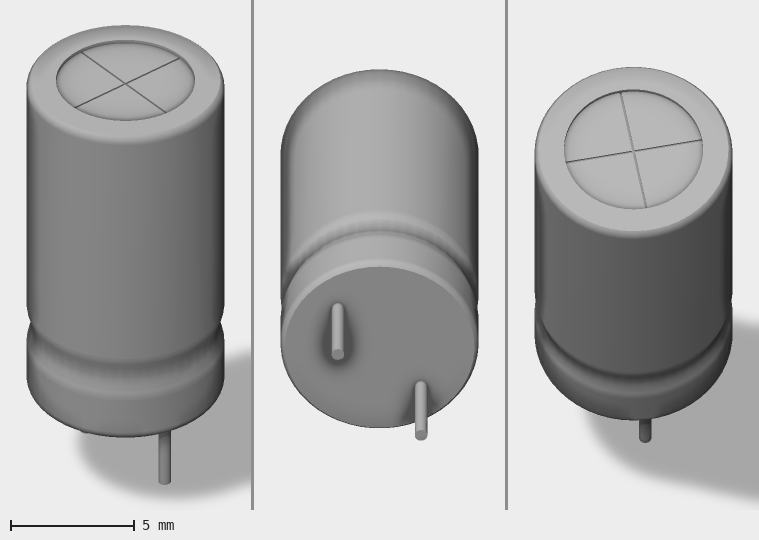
import cadquery as cq
import math

can_radius = 8.0 / 2
can_height = 15.0
rim_inset = 0.17
rim_height = 0.35

groove_center = 3.0
groove_half_height = 1.03
groove_hollow_half_height = 0.64
groove_depth = 0.17

vent_radius = 2.81
vent_depth = 0.17
score_width = 0.1
score_depth = 0.08

lead_radius = 0.253
lead_pitch = 5.0
long_lead_length = 3.75
short_lead_length = 3.52


def make_can():
    """Revolve the can profile, with rounded rims and a smooth groove."""
    groove_bottom = groove_center - groove_half_height
    groove_top = groove_center + groove_half_height
    hollow_bottom = groove_center - groove_hollow_half_height
    hollow_top = groove_center + groove_hollow_half_height

    shoulder_share = 1 - groove_hollow_half_height / groove_half_height
    shoulder_radius = can_radius - groove_depth * shoulder_share
    throat_radius = can_radius - groove_depth
    rim_radius = can_radius - rim_inset

    rim_arc_radius = (rim_inset**2 + rim_height**2) / (2 * rim_inset)
    rim_half_angle = math.asin(rim_height / rim_arc_radius) / 2
    rim_mid_radius = can_radius - rim_arc_radius * (1 - math.cos(rim_half_angle))
    rim_mid_height = rim_height - rim_arc_radius * math.sin(rim_half_angle)

    return (
        cq.Workplane("XZ")
        .lineTo(rim_radius, 0)
        .threePointArc((rim_mid_radius, rim_mid_height), (can_radius, rim_height))
        .lineTo(can_radius, groove_bottom)
        .tangentArcPoint((shoulder_radius, hollow_bottom), relative=False)
        .threePointArc((throat_radius, groove_center), (shoulder_radius, hollow_top))
        .tangentArcPoint((can_radius, groove_top), relative=False)
        .lineTo(can_radius, can_height - rim_height)
        .tangentArcPoint((rim_radius, can_height), relative=False)
        .lineTo(0, can_height)
        .close()
        .revolve(360, (0, 0, 0), (0, 1, 0))
    )


def cut_vent(body):
    """Recess the middle of the top face and score a cross across its floor."""
    vent_floor = can_height - vent_depth
    vent = cq.Workplane("XY", origin=(0, 0, vent_floor)).circle(vent_radius).extrude(vent_depth)
    body = body.cut(vent)
    score_plane = cq.Workplane("XY", origin=(0, 0, vent_floor - score_depth))
    score_length = 2 * vent_radius
    for size_x, size_y in ((score_length, score_width), (score_width, score_length)):
        score = score_plane.rect(size_x, size_y).extrude(score_depth)
        body = body.cut(score)
    return body


def make_lead(x, length):
    """Round lead hanging from the bottom face."""
    return cq.Workplane("XY").center(x, 0).circle(lead_radius).extrude(-length)


result = (
    cut_vent(make_can())
    .union(make_lead(-lead_pitch / 2, long_lead_length))
    .union(make_lead(lead_pitch / 2, short_lead_length))
)